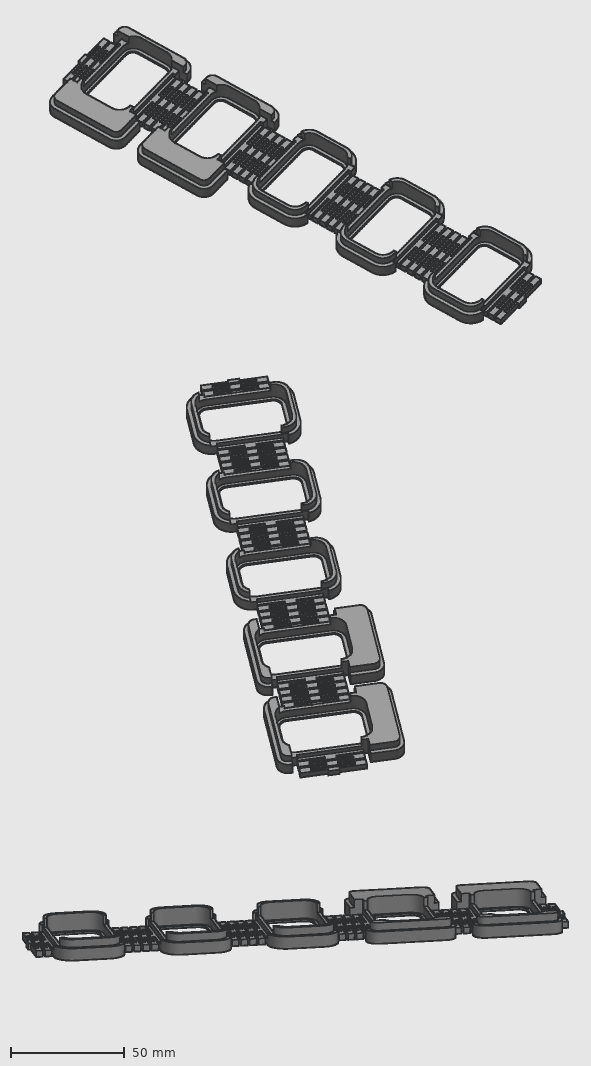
import cadquery as cq

total_length = 241.0
frame_count = 5
plate_frame_count = 2
total_width = 57.0

total_height = 9.2
tier_height = 5.5
side_height = 5.0
strap_height = 3.0
ledge_height = 1.0

frame_width = 31.5
frame_length = 48.0
frame_radius = 8.0
tier_inset = 2.0
cavity_width = 25.3
cavity_length = 40.7
cavity_radius = 5.8
window_width = 22.5
window_length = 37.0
window_radius = 3.9
plate_width = 40.0
plate_radius = 5.0

bar = 1.0
loop_width = 3 * bar
loop_pitch = loop_width + bar
loops_per_side = 2
strap_length = 30.0
loop_end = 5.0
bridge_length = 5.0

strap_recess_width = 28.7
notch_length = 32.0
side_wall_shift = 1.7
strap_recess_shift = 1.2

frame_pitch = (total_length - bar) / frame_count
frame_y = (total_width - frame_length) / 2
side_wall_y = frame_y + side_wall_shift
strap_recess_y = frame_y - strap_recess_shift
gap_top = side_wall_y + notch_length / 2
gap_bottom = strap_recess_y - notch_length / 2


def block(width, length, bottom, top, y=0.0, x=0.0):
    """Box centred on (x, y) between two heights."""
    return cq.Workplane("XY", origin=(x, y, bottom)).rect(width, length).extrude(top - bottom)


def rounded_block(width, length, radius, bottom, top, y=0.0):
    """Box with rounded vertical edges between two heights."""
    return block(width, length, bottom, top, y).edges("|Z").fillet(radius)


def two_tier_block(width, length, radius, y):
    """Rounded block with an inset upper tier."""
    lower = rounded_block(width, length, radius, 0, tier_height, y)
    upper = rounded_block(
        width - 2 * tier_inset, length - 2 * tier_inset, radius - tier_inset, 0, total_height, y
    )
    return lower.union(upper)


def side_cuts(inner_width, length, y):
    """Pair of full-height blocks removing all that lies outside inner_width."""
    outer = block(2 * plate_width, length, 0, total_height, y)
    return outer.cut(block(inner_width, length, 0, total_height, y))


def make_frame(has_plate):
    """One frame centred on X = 0, joined with a wide plate at both ends if asked for."""
    body = two_tier_block(frame_width, frame_length, frame_radius, frame_y)
    if has_plate:
        plate = two_tier_block(plate_width, total_width, plate_radius, 0)
        waist = side_cuts(frame_width, gap_top - gap_bottom, (gap_top + gap_bottom) / 2)
        body = body.union(plate.cut(waist))
    body = body.cut(block(plate_width, notch_length, side_height, total_height, side_wall_y))
    body = body.cut(side_cuts(strap_recess_width, notch_length, strap_recess_y))
    body = body.cut(
        rounded_block(cavity_width, cavity_length, cavity_radius, ledge_height, total_height, frame_y)
    )
    return body.cut(rounded_block(window_width, window_length, window_radius, 0, ledge_height, frame_y))


def make_half_strap():
    """Half strap on the +X side of a frame, ending in the bridge shared with its neighbour."""
    outer_end = frame_pitch / 2 + bar / 2
    inner_end = strap_recess_width / 2
    strap = block(
        outer_end - inner_end, bridge_length, 0, strap_height, frame_y, (outer_end + inner_end) / 2
    )
    root_end = frame_width / 2
    root_x = (inner_end + root_end) / 2
    strap = strap.union(block(root_end - inner_end, strap_length, 0, strap_height, frame_y, root_x))
    for index in range(loops_per_side):
        loop_x = frame_pitch / 2 - (index + 0.5) * loop_pitch
        slot = block(bar, strap_length - 2 * loop_end, 0, strap_height, frame_y, loop_x)
        loop = block(loop_width, strap_length, 0, strap_height, frame_y, loop_x)
        strap = strap.union(loop).cut(slot)
    return strap


half_strap = make_half_strap()
straps = half_strap.union(half_strap.mirror("YZ"))

result = None
for frame_index in range(frame_count):
    frame_x = (frame_index - (frame_count - 1) / 2) * frame_pitch
    link = make_frame(frame_index < plate_frame_count).union(straps).translate((frame_x, 0, 0))
    result = link if result is None else result.union(link)